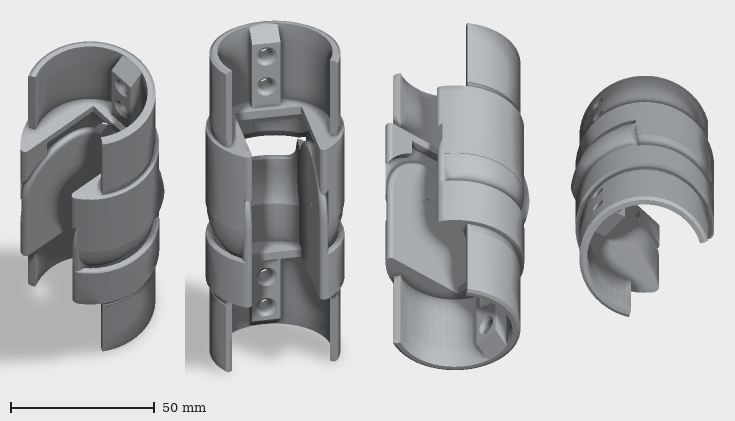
import cadquery as cq
import math


collar_r = 24.1
collar_end = 30.0
slot_half = 12.0
slot_back = 12.0
flange_t = 3.0
bore_r = 20.0
nose_r = 3.0 / 2
fork_front = -math.sqrt((collar_r - nose_r) ** 2 - (slot_half + nose_r) ** 2) - nose_r
tongue_front = -19.26

sleeve_r = 22.8
sleeve_end = 60.0
neck_r = 22.5
neck_len = 3.0
tip_chamfer_radial = 1.1
tip_chamfer_axial = 0.7
opening_angle = 30.0
pad_half = 5.0
pad_face = 14.4
pad_slope_h = 4.8
screw_positions = (38.0, 50.0)
screw_d = 5.0
countersink_d = 7.2
countersink_depth = (countersink_d - screw_d) / 2

cheek_x = 15.0
pin_d = 10.0
pin_hole_d = 10.1
pin_root = 1.2

cheek_ball_r = 23.9
fork_sphere_r = 26.4
fork_recess_r = 23.3
fork_pocket_front = -9.2
fork_web_bottom = 13.8

tongue_sphere_r = 26.0
tongue_shoulder = -12.0
shoulder_chamfer = 0.4
socket_r = 25.1
plate_arc_z = 1.0
plate_stop_angle = 35.7
window_bottom = 4.2
window_corner_r = 3.4

reach = 72.0


def block(x0, x1, y0, y1, z0, z1):
    return cq.Workplane("XY").box(x1 - x0, y1 - y0, z1 - z0, centered=False).translate((x0, y0, z0))


def slab(half_width):
    return block(-half_width, half_width, -reach, reach, -reach, reach)


def rod_x(radius, x0, x1):
    return cq.Workplane("YZ").workplane(offset=x0).circle(radius).extrude(x1 - x0)


def ball(radius):
    return cq.Workplane("XY").sphere(radius)


def cylinder(radius, z0, z1):
    return cq.Workplane("XY").workplane(offset=z0).circle(radius).extrude(z1 - z0)


def both_sides(solid):
    return solid.union(solid.mirror("YZ"))


def collar(front, z0, z1):
    """Round bar with a slot open to the front, flanked by two rounded noses."""
    crest_x = slot_half + nose_r
    diag = math.sqrt(0.5)
    inner_mid = (crest_x - nose_r * diag, front + nose_r * (1 - diag))
    outer_r = (collar_r**2 - crest_x**2 - front**2) / (2 * (collar_r + front))
    outer_y = front + outer_r
    rim_scale = collar_r / (collar_r - outer_r)
    rim_x = crest_x * rim_scale
    rim_y = outer_y * rim_scale
    half_turn = math.atan2(crest_x, -outer_y) / 2
    outer_mid = (crest_x + outer_r * math.sin(half_turn), outer_y - outer_r * math.cos(half_turn))
    outline = (
        cq.Workplane("XY").workplane(offset=z0)
        .moveTo(-slot_half, slot_back)
        .lineTo(slot_half, slot_back)
        .lineTo(slot_half, front + nose_r)
        .threePointArc(inner_mid, (crest_x, front))
        .threePointArc(outer_mid, (rim_x, rim_y))
        .threePointArc((0, collar_r), (-rim_x, rim_y))
        .threePointArc((-outer_mid[0], outer_mid[1]), (-crest_x, front))
        .threePointArc((-inner_mid[0], inner_mid[1]), (-slot_half, front + nose_r))
        .close()
    )
    return outline.extrude(z1 - z0)


def sleeve():
    """Open C-shaped sleeve above the upper collar, with a pad for two countersunk screws."""
    neck_top = collar_end + neck_len
    tube = (
        cq.Workplane("XZ")
        .polyline([
            (bore_r, collar_end),
            (neck_r, collar_end),
            (neck_r, neck_top),
            (sleeve_r, neck_top),
            (sleeve_r, sleeve_end - tip_chamfer_axial),
            (sleeve_r - tip_chamfer_radial, sleeve_end),
            (bore_r, sleeve_end),
        ])
        .close()
        .revolve(360, (0, 0, 0), (0, 1, 0))
    )
    drop = reach * math.tan(math.radians(opening_angle))
    opening = (
        cq.Workplane("XY").workplane(offset=collar_end)
        .polyline([(0, 0), (reach, -drop), (reach, -reach), (-reach, -reach), (-reach, -drop)])
        .close()
        .extrude(sleeve_end - collar_end)
    )
    pad_back = (bore_r + neck_r) / 2
    pad = (
        cq.Workplane("YZ").workplane(offset=-pad_half)
        .polyline([
            (pad_face, collar_end),
            (pad_face, sleeve_end - pad_slope_h),
            (bore_r, sleeve_end),
            (pad_back, sleeve_end),
            (pad_back, collar_end),
        ])
        .close()
        .extrude(2 * pad_half)
    )
    body = tube.cut(opening).union(pad)
    for z in screw_positions:
        screw_hole = (
            cq.Workplane("XY")
            .polyline([
                (0, pad_face),
                (countersink_d / 2, pad_face),
                (screw_d / 2, pad_face + countersink_depth),
                (screw_d / 2, collar_r),
                (0, collar_r),
            ])
            .close()
            .revolve(360, (0, 0, 0), (0, 1, 0))
            .translate((0, 0, z))
        )
        body = body.cut(screw_hole)
    return body


def make_fork():
    """Upper body: sleeve, collar and two cheeks with ball-shaped ends and pivot pins."""
    body = collar(fork_front, -cheek_ball_r, collar_end)
    around_ball = cylinder(reach, -reach, 0).cut(ball(cheek_ball_r))
    body = body.cut(around_ball)

    gap = slab(cheek_x)
    pocket = cylinder(bore_r, 0, collar_end - flange_t).intersect(
        block(-cheek_x, cheek_x, fork_pocket_front, reach, 0, collar_end)
    )
    recess = rod_x(fork_recess_r, -cheek_x, cheek_x)
    below_web = block(-cheek_x, cheek_x, 0, reach, -reach, fork_web_bottom)
    swing_room = ball(fork_sphere_r).intersect(gap).intersect(
        block(-reach, reach, slot_back, reach, -reach, reach)
    )
    body = body.cut(pocket).cut(recess).cut(swing_room).cut(below_web)

    pin = rod_x(pin_d / 2, slot_half, cheek_x + pin_root)
    return body.union(both_sides(pin)).union(sleeve())


def tongue_plates():
    """Ball-shaped tongue between the cheeks, before it is hollowed."""
    core_r = -tongue_front - nose_r
    stop = math.radians(plate_stop_angle)
    stop_y = reach * math.cos(stop)
    stop_z = reach * math.sin(stop)
    rear = (
        cq.Workplane("YZ").workplane(offset=-cheek_x)
        .polyline([(0, 0), (stop_y, stop_z), (stop_y, -collar_end), (0, -collar_end)])
        .close()
        .extrude(2 * cheek_x)
    )
    top = rod_x(core_r, -cheek_x, cheek_x).translate((0, 0, plate_arc_z))
    front = block(-cheek_x, cheek_x, -core_r, 0, -collar_end, plate_arc_z)
    meeting_z = -math.sqrt(tongue_sphere_r**2 - collar_r**2)
    envelope = ball(tongue_sphere_r).union(cylinder(collar_r, -collar_end, meeting_z))
    plates = rear.union(top).union(front).intersect(envelope)
    return plates.intersect(block(-reach, reach, -reach, reach, tongue_shoulder, reach))


def plate_edges():
    """Half-round edges along the front and over the top of both plates."""
    core_r = -tongue_front - nose_r
    crest = ((slot_half + cheek_x) / 2, tongue_front)

    def half_round():
        return (
            cq.Workplane("XY").workplane(offset=plate_arc_z)
            .moveTo(slot_half, -core_r)
            .threePointArc(crest, (cheek_x, -core_r))
            .close()
        )

    post = half_round().extrude(tongue_shoulder - plate_arc_z)
    arch = half_round().revolve(180, (0, 0, 0), (-1, 0, 0))
    return both_sides(post.union(arch))


def socket():
    """Ball-segment recess that receives the end of one cheek."""
    edge_r = math.sqrt(socket_r**2 - cheek_x**2)
    mid_x = (cheek_x + socket_r) / 2
    return (
        cq.Workplane("XY")
        .moveTo(cheek_x, 0)
        .lineTo(cheek_x, edge_r)
        .threePointArc((mid_x, math.sqrt(socket_r**2 - mid_x**2)), (socket_r, 0))
        .close()
        .revolve(360, (0, 0, 0), (1, 0, 0))
    )


def make_tongue():
    """Lower body: sleeve, socketed collar and the hollow tongue that carries the pivot holes."""
    base = collar(tongue_front, -collar_end, tongue_shoulder)
    shoulder_edge = (
        cq.Workplane("XZ")
        .polyline([
            (collar_r - shoulder_chamfer, tongue_shoulder),
            (collar_r + shoulder_chamfer, tongue_shoulder),
            (collar_r + shoulder_chamfer, tongue_shoulder - 2 * shoulder_chamfer),
        ])
        .close()
        .revolve(360, (0, 0, 0), (0, 1, 0))
    )
    base = base.cut(shoulder_edge.cut(slab(cheek_x)))
    base = base.cut(both_sides(socket()))
    body = base.union(tongue_plates())

    slot = block(-slot_half, slot_half, -reach, slot_back, -collar_end, reach)
    shell_inner_r = math.hypot(bore_r, tongue_shoulder)
    hollow = (
        cq.Workplane("XZ")
        .moveTo(0, flange_t - collar_end)
        .lineTo(bore_r, flange_t - collar_end)
        .lineTo(bore_r, tongue_shoulder)
        .threePointArc((shell_inner_r, 0), (0, shell_inner_r))
        .close()
        .revolve(360, (0, 0, 0), (0, 1, 0))
        .intersect(slab(slot_half))
    )
    window = block(-slot_half, slot_half, 0, reach, window_bottom, reach)
    window = window.edges("|Y and <Z").fillet(window_corner_r)
    body = body.cut(slot).cut(hollow).cut(window)

    body = body.cut(rod_x(pin_hole_d / 2, -cheek_x, cheek_x))
    return body.union(plate_edges()).union(sleeve().mirror("XY"))


fork = make_fork()
tongue = make_tongue()
result = cq.Compound.makeCompound([fork.val(), tongue.val()])